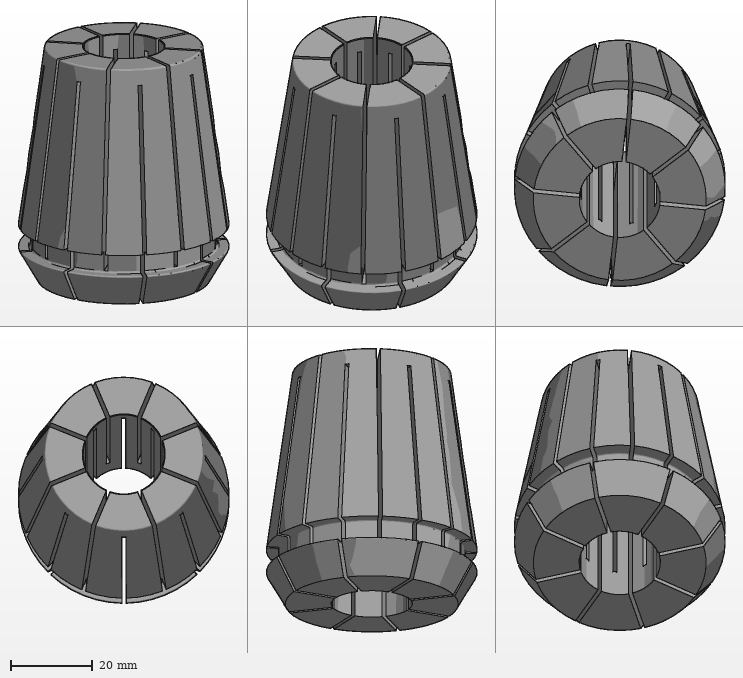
import cadquery as cq
import math

height = 60.0
max_radius = 26.0
bore_radius = 10.0

taper_half_angle = 8.0
taper_start_z = 14.0
top_fillet = 0.5
bore_chamfer = 0.2

nose_half_angle = 30.0
flange_top_z = 8.5
flange_fillet = 0.3
groove_radius = 23.0
groove_fillet = 0.5

slot_width = 1.0
slot_count = 8
lower_slot_top_z = 56.0
upper_slot_bottom_z = flange_top_z + groove_fillet


def make_body():
    """Revolve the bored profile: nose cone, groove and main taper."""
    nose_angle = math.radians(nose_half_angle)
    taper_angle = math.radians(taper_half_angle)

    rim_center_radius = max_radius - flange_fillet
    rim_start_radius = rim_center_radius + flange_fillet * math.cos(nose_angle)
    rim_start_z = flange_top_z - flange_fillet * (1 + math.sin(nose_angle))
    nose_radius = rim_start_radius - rim_start_z * math.tan(nose_angle)

    top_center_z = height - top_fillet
    top_start_z = top_center_z + top_fillet * math.sin(taper_angle)
    top_start_radius = max_radius - (top_start_z - taper_start_z) * math.tan(taper_angle)
    top_center_radius = top_start_radius - top_fillet * math.cos(taper_angle)

    groove_fillet_radius = groove_radius + groove_fillet

    profile = (
        cq.Workplane("XZ")
        .moveTo(bore_radius, 0)
        .lineTo(nose_radius, 0)
        .lineTo(rim_start_radius, rim_start_z)
        .tangentArcPoint((rim_center_radius, flange_top_z), relative=False)
        .lineTo(groove_fillet_radius, flange_top_z)
        .tangentArcPoint((groove_radius, flange_top_z + groove_fillet), relative=False)
        .lineTo(groove_radius, taper_start_z - groove_fillet)
        .tangentArcPoint((groove_fillet_radius, taper_start_z), relative=False)
        .lineTo(max_radius, taper_start_z)
        .lineTo(top_start_radius, top_start_z)
        .tangentArcPoint((top_center_radius, height), relative=False)
        .lineTo(bore_radius + bore_chamfer, height)
        .lineTo(bore_radius, height - bore_chamfer)
        .close()
    )
    return profile.revolve(360, (0, 0, 0), (0, 1, 0))


def make_slots(bottom_z, top_z, first_angle):
    """Return evenly spaced radial slot cutters spanning the given heights."""
    pitch_angle = 360 / slot_count
    blade = cq.Workplane("XY", origin=(0, 0, bottom_z)).box(
        max_radius * 2, slot_width, top_z - bottom_z, centered=(False, True, False)
    )
    cutters = cq.Workplane("XY")
    for index in range(slot_count):
        angle = first_angle + index * pitch_angle
        cutters = cutters.add(blade.rotate((0, 0, 0), (0, 0, 1), angle))
    return cutters.combine()


half_pitch_angle = 180 / slot_count
lower_slots = make_slots(0, lower_slot_top_z, 0)
upper_slots = make_slots(upper_slot_bottom_z, height, half_pitch_angle)

result = make_body().cut(lower_slots).cut(upper_slots)